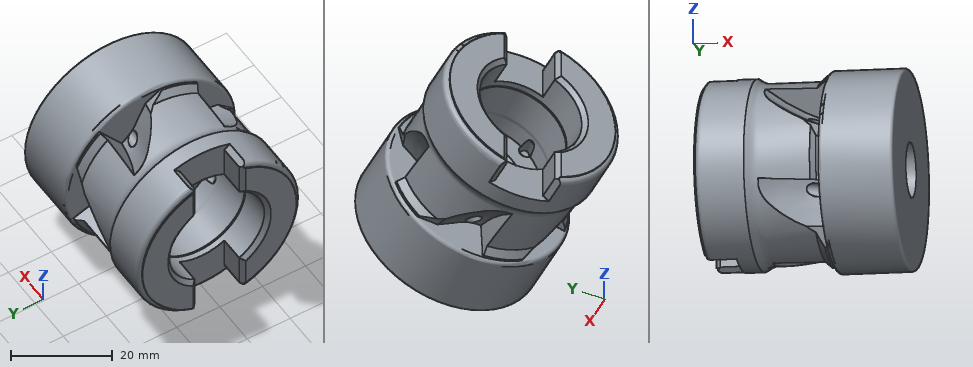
import cadquery as cq
import math

length = 40.0
flange_radius = 20.0
collar_radius = 19.0
neck_radius = 17.97
through_radius = 5.5

rim_land = 0.3
rim_round_end = 1.52
slot_depth = 6.4
collar_end = 10.13
collar_cone_end = 11.25
neck_start = 12.73
neck_end = 23.1
flare_end = 24.58
flange_start = 25.05

rim_radius = 17.95
collar_cone_radius = 18.35
flare_radius = 19.25
flange_back_round = 0.8
flange_end_round = 0.6
edge_chamfer = 0.95

bore_radius = 11.05
bore_land_radius = 10.9
pilot_depth = 7.8
land_depth = 15.45
land_taper = 0.9
bore_depth = 20.0
bore_step_bevel = bore_radius - bore_land_radius

slot_half_width = 5.2
slot_corner_side = 3.2
slot_corner_height = 16.9
slot_corner_rise = 2.5

pocket_count = 5
pocket_wall_angle = 56.6
pocket_floor_radius = 10.85
pocket_floor_middle = (8.6, 7.55)
pocket_floor_end = (11.5, 7.0)
pocket_bevel_start = (15.6, 6.4)
pocket_bevel_end = (19.95, 2.6)
pocket_outer_radius = 24.8
pocket_lift_angle = 62.0
pocket_lifts = ((neck_start, 7.15), (15.57, 4.92), (21.35, 1.5), (flange_start, 0.0))

port_diameter = 2.65
port_angle = 44.6
port_floor_radius = 10.85
port_pocket_radius = 12.1
port_pocket_x = 23.6


def polar(radius, angle):
    """Point at an angle in degrees from the outward direction of a pocket."""
    return (radius * math.cos(math.radians(angle)), radius * math.sin(math.radians(angle)))


def make_body():
    round_share = math.sqrt(0.5)
    rim_middle = (
        rim_round_end - round_share * (rim_round_end - rim_land),
        rim_radius + round_share * (collar_radius - rim_radius),
    )
    profile = (
        cq.Workplane("XY")
        .moveTo(0, 0)
        .lineTo(0, rim_radius)
        .lineTo(rim_land, rim_radius)
        .threePointArc(rim_middle, (rim_round_end, collar_radius))
        .lineTo(collar_end, collar_radius)
        .lineTo(collar_cone_end, collar_cone_radius)
        .tangentArcPoint((neck_start, neck_radius), relative=False)
        .lineTo(neck_end, neck_radius)
        .lineTo(flare_end, flare_radius)
        .lineTo(flange_start, flare_radius)
        .lineTo(flange_start, 0)
        .close()
    )
    front = profile.revolve(360, (0, 0, 0), (1, 0, 0))
    flange = cq.Workplane("YZ", origin=(flange_start, 0, 0)).circle(flange_radius)
    flange = flange.extrude(length - flange_start)
    flange = flange.faces("<X").edges().fillet(flange_back_round)
    flange = flange.faces(">X").edges().fillet(flange_end_round)
    return front.union(flange)


def make_bore():
    points = [
        (0, 0),
        (0, bore_radius + edge_chamfer),
        (edge_chamfer, bore_radius),
        (pilot_depth, bore_radius),
        (pilot_depth + bore_step_bevel, bore_land_radius),
        (land_depth, bore_land_radius),
        (land_depth + land_taper, bore_radius),
        (bore_depth, bore_radius),
        (bore_depth, through_radius + edge_chamfer),
        (bore_depth + edge_chamfer, through_radius),
        (length, through_radius),
        (length, 0),
    ]
    return cq.Workplane("XY").polyline(points).close().revolve(360, (0, 0, 0), (1, 0, 0))


def make_jaw_slot():
    """Slot along Z, with bevels on its front edges and on its outer edges."""
    chamfered_half_width = slot_half_width + edge_chamfer
    half_outline = [
        (0, chamfered_half_width),
        (edge_chamfer, slot_half_width),
        (slot_depth, slot_half_width),
    ]
    mirrored = [(x, -y) for x, y in reversed(half_outline)]
    slot = cq.Workplane("XY").polyline(half_outline + mirrored).close()
    slot = slot.extrude(flange_radius, both=True)
    bevel_reach = (flange_radius - slot_corner_height) / slot_corner_rise
    bevel_edge = slot_half_width + slot_corner_side * bevel_reach
    for side in (-1, 1):
        for end in (-1, 1):
            corner = [
                (side * slot_half_width, end * slot_corner_height),
                (side * bevel_edge, end * flange_radius),
                (side * slot_half_width, end * flange_radius),
            ]
            slot = slot.union(cq.Workplane("YZ").polyline(corner).close().extrude(slot_depth))
    return slot


def pocket_section(x, lift):
    """Closed pocket section at x, slid outward by lift; outward is -Y."""
    shift_out, shift_side = polar(lift, pocket_lift_angle)

    def place(point):
        return cq.Vector(x, -point[0] - shift_out, point[1] + shift_side)

    wall_foot = place(polar(pocket_floor_radius, pocket_wall_angle))
    wall_top = place(polar(pocket_outer_radius, pocket_wall_angle))
    floor_end = place(pocket_floor_end)
    bevel_start = place(pocket_bevel_start)
    bevel_end = place(pocket_bevel_end)
    return cq.Wire.assembleEdges([
        cq.Edge.makeLine(wall_top, wall_foot),
        cq.Edge.makeThreePointArc(wall_foot, place(pocket_floor_middle), floor_end),
        cq.Edge.makeLine(floor_end, bevel_start),
        cq.Edge.makeLine(bevel_start, bevel_end),
        cq.Edge.makeLine(bevel_end, wall_top),
    ])


def make_pocket():
    sections = [pocket_section(x, lift) for x, lift in pocket_lifts]
    return cq.Workplane(cq.Solid.makeLoft(sections))


def make_port():
    """Inclined hole that runs from the bore through the pocket floor, up to the flange."""
    floor_out, floor_side = polar(port_floor_radius, port_angle)
    pocket_out, pocket_side = polar(port_pocket_radius, port_angle)
    floor_point = cq.Vector(bore_depth, -floor_out, floor_side)
    pocket_point = cq.Vector(port_pocket_x, -pocket_out, pocket_side)
    axis = pocket_point - floor_point
    start = floor_point - axis.normalized() * port_diameter
    drill_length = axis.Length + 2 * port_diameter
    drill = cq.Workplane(cq.Solid.makeCylinder(port_diameter / 2, drill_length, start, axis))
    front_space = cq.Workplane("YZ").circle(flange_radius).extrude(flange_start)
    return drill.intersect(front_space)


result = make_body().cut(make_bore()).cut(make_jaw_slot())
pocket = make_pocket()
port = make_port()
for index in range(pocket_count):
    turn = index * 360 / pocket_count
    for cutter in (pocket, port):
        result = result.cut(cutter.rotate((0, 0, 0), (1, 0, 0), turn))